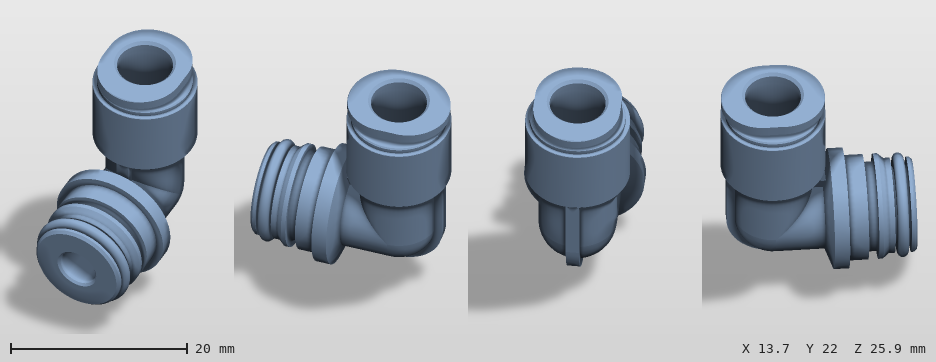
import cadquery as cq
import math

ELBOW_DIA = 8.9
BORE_DIA = 3.5
RIB_THICKNESS = 1.5
RIB_REACH = 5.35

SOCKET_DIA = 11.9
SOCKET_CONE_BASE_Z = 6.3
SOCKET_BASE_Z = 7.87
SOCKET_TOP_Z = 16.0
SOCKET_EDGE_BREAK = 0.05
RIM_DIA = 10.9
RIM_TOP_Z = 16.65
RIM_EDGE_BREAK = 0.15

RING_NECK_DIA = 7.75
RING_NECK_FILLET = 0.3
RING_BASE_Z = 17.5
RING_TOP_Z = 19.0
RING_LENGTH = 11.8
RING_WIDTH = 9.85
RING_BEVEL_DROP = 0.45
RING_EDGE_BREAK = 0.1
TUBE_DIA = 6.35
TUBE_MOUTH_DIA = 7.0
TUBE_FLOOR_Z = SOCKET_BASE_Z

COLLAR_DIA = 13.7
COLLAR_CONE_START = 5.6
COLLAR_START = 6.5
COLLAR_END = 8.22
BARREL_DIA = 11.95
BARREL_END = 10.45
CLIP_GROOVE_DIA = 10.15
CLIP_GROOVE_END = 11.6
CLIP_GROOVE_FILLET = 0.3
LAND_END = 12.12
NOSE_DIA = 10.8
NOSE_START = 12.8
SEAL_GROOVE_START = 13.5
SEAL_GROOVE_END = 15.35
SEAL_GROOVE_DIA = 8.6
SEAL_GROOVE_FILLET = 0.35
PORT_END = 16.0
NOSE_CHAMFER = 0.3
SEAL_DIA = 11.85
SEAL_WIDTH = 1.25
PORT_BORE_DIA = 4.5
PORT_MOUTH_DIA = 5.0
PORT_BORE_END = 7.0
PORT_TAPER_LENGTH = 1.0


def revolve_half_profile(profile):
    """Spin an XY-plane profile, drawn as (radius, distance), about the Y axis."""
    return profile.close().revolve(360, (0, 0, 0), (0, 1, 0))


def to_socket(solid):
    """Turn a +Y body of revolution so that it points along +Z."""
    return solid.rotate((0, 0, 0), (1, 0, 0), 90)


def to_port(solid):
    """Turn a +Y body of revolution so that it points along -Y."""
    return solid.rotate((0, 0, 0), (1, 0, 0), 180)


def make_elbow():
    radius = ELBOW_DIA / 2
    riser = cq.Workplane("XY").circle(radius).extrude(SOCKET_BASE_Z)
    branch = cq.Workplane("XZ").circle(radius).extrude(COLLAR_START)
    return riser.union(branch).union(cq.Workplane("XY").sphere(radius))


def make_rib():
    """Flat web in the YZ plane, rounded around the outer corner of the elbow."""
    mid = RIB_REACH * math.sqrt(0.5)
    return (
        cq.Workplane("YZ", origin=(-RIB_THICKNESS / 2, 0, 0))
        .moveTo(RIB_REACH, SOCKET_BASE_Z)
        .lineTo(RIB_REACH, 0)
        .threePointArc((mid, -mid), (0, -RIB_REACH))
        .lineTo(-COLLAR_START, -RIB_REACH)
        .lineTo(-COLLAR_START, RIB_REACH)
        .lineTo(-RIB_REACH, RIB_REACH)
        .lineTo(-RIB_REACH, SOCKET_BASE_Z)
        .close()
        .extrude(RIB_THICKNESS)
    )


def make_socket():
    radius = SOCKET_DIA / 2
    rim = RIM_DIA / 2
    neck = RING_NECK_DIA / 2
    flare = RING_NECK_FILLET
    flare_mid = flare * (1 - math.sqrt(0.5))
    profile = (
        cq.Workplane("XY")
        .moveTo(0, SOCKET_CONE_BASE_Z)
        .lineTo(ELBOW_DIA / 2, SOCKET_CONE_BASE_Z)
        .lineTo(radius, SOCKET_BASE_Z)
        .lineTo(radius, SOCKET_TOP_Z - SOCKET_EDGE_BREAK)
        .lineTo(radius - SOCKET_EDGE_BREAK, SOCKET_TOP_Z)
        .lineTo(rim, SOCKET_TOP_Z)
        .lineTo(rim, RIM_TOP_Z - RIM_EDGE_BREAK)
        .lineTo(rim - RIM_EDGE_BREAK, RIM_TOP_Z)
        .lineTo(neck, RIM_TOP_Z)
        .lineTo(neck, RING_BASE_Z - flare)
        .threePointArc((neck + flare_mid, RING_BASE_Z - flare_mid), (neck + flare, RING_BASE_Z))
        .lineTo(0, RING_BASE_Z)
    )
    return to_socket(revolve_half_profile(profile))


def make_release_ring():
    """Oblong ring with a shallow cone around the tube mouth and a broken edge at its ends."""
    plate = (
        cq.Workplane("XY", origin=(0, 0, RING_BASE_Z))
        .slot2D(RING_LENGTH, RING_WIDTH, 90)
        .extrude(RING_TOP_Z - RING_BASE_Z)
    )
    cone = (
        cq.Workplane("XY")
        .moveTo(0, RING_BASE_Z)
        .lineTo(RING_LENGTH / 2, RING_BASE_Z)
        .lineTo(RING_LENGTH / 2, RING_TOP_Z - RING_BEVEL_DROP - RING_EDGE_BREAK)
        .lineTo(RING_LENGTH / 2 - RING_EDGE_BREAK, RING_TOP_Z - RING_BEVEL_DROP)
        .lineTo(TUBE_MOUTH_DIA / 2, RING_TOP_Z)
        .lineTo(0, RING_TOP_Z)
    )
    return plate.intersect(to_socket(revolve_half_profile(cone)))


def make_port():
    barrel = BARREL_DIA / 2
    nose = NOSE_DIA / 2
    profile = (
        cq.Workplane("XY")
        .moveTo(0, COLLAR_CONE_START)
        .lineTo(ELBOW_DIA / 2, COLLAR_CONE_START)
        .lineTo(COLLAR_DIA / 2, COLLAR_START)
        .lineTo(COLLAR_DIA / 2, COLLAR_END)
        .lineTo(barrel, COLLAR_END)
        .lineTo(barrel, LAND_END)
        .lineTo(nose, NOSE_START)
        .lineTo(nose, PORT_END - NOSE_CHAMFER)
        .lineTo(nose - NOSE_CHAMFER, PORT_END)
        .lineTo(0, PORT_END)
    )
    return to_port(revolve_half_profile(profile))


def make_port_groove(start, end, floor_dia, fillet):
    """Ring-shaped cutter for a groove around the port with rounded floor corners."""
    floor = floor_dia / 2
    profile = (
        cq.Workplane("XY")
        .moveTo(COLLAR_DIA / 2, start)
        .lineTo(floor + fillet, start)
        .radiusArc((floor, start + fillet), fillet)
        .lineTo(floor, end - fillet)
        .radiusArc((floor + fillet, end), fillet)
        .lineTo(COLLAR_DIA / 2, end)
    )
    return to_port(revolve_half_profile(profile))


def make_seal():
    """O-ring seated on the floor of the seal groove, round on its outside."""
    half = SEAL_WIDTH / 2
    middle = (SEAL_GROOVE_START + SEAL_GROOVE_END) / 2
    crown = SEAL_DIA / 2
    inside = SEAL_GROOVE_DIA / 2 - SEAL_GROOVE_FILLET
    profile = (
        cq.Workplane("XY")
        .moveTo(inside, middle - half)
        .lineTo(crown - half, middle - half)
        .threePointArc((crown, middle), (crown - half, middle + half))
        .lineTo(inside, middle + half)
    )
    return to_port(revolve_half_profile(profile))


def make_tube_bore():
    mouth_depth = (TUBE_MOUTH_DIA - TUBE_DIA) / 2
    profile = (
        cq.Workplane("XY")
        .lineTo(BORE_DIA / 2, 0)
        .lineTo(BORE_DIA / 2, TUBE_FLOOR_Z)
        .lineTo(TUBE_DIA / 2, TUBE_FLOOR_Z)
        .lineTo(TUBE_DIA / 2, RING_TOP_Z - mouth_depth)
        .lineTo(TUBE_MOUTH_DIA / 2, RING_TOP_Z)
        .lineTo(0, RING_TOP_Z)
    )
    return to_socket(revolve_half_profile(profile))


def make_port_bore():
    mouth_depth = (PORT_MOUTH_DIA - PORT_BORE_DIA) / 2
    profile = (
        cq.Workplane("XY")
        .lineTo(BORE_DIA / 2, 0)
        .lineTo(BORE_DIA / 2, PORT_BORE_END - PORT_TAPER_LENGTH)
        .lineTo(PORT_BORE_DIA / 2, PORT_BORE_END)
        .lineTo(PORT_BORE_DIA / 2, PORT_END - mouth_depth)
        .lineTo(PORT_MOUTH_DIA / 2, PORT_END)
        .lineTo(0, PORT_END)
    )
    return to_port(revolve_half_profile(profile))


clip_groove = make_port_groove(BARREL_END, CLIP_GROOVE_END, CLIP_GROOVE_DIA, CLIP_GROOVE_FILLET)
seal_groove = make_port_groove(SEAL_GROOVE_START, SEAL_GROOVE_END, SEAL_GROOVE_DIA, SEAL_GROOVE_FILLET)
port = make_port().cut(clip_groove).cut(seal_groove).union(make_seal())

body = make_elbow().union(make_rib()).union(make_socket()).union(make_release_ring()).union(port)
bore_corner = cq.Workplane("XY").sphere(BORE_DIA / 2)
result = body.cut(make_tube_bore()).cut(make_port_bore()).cut(bore_corner)